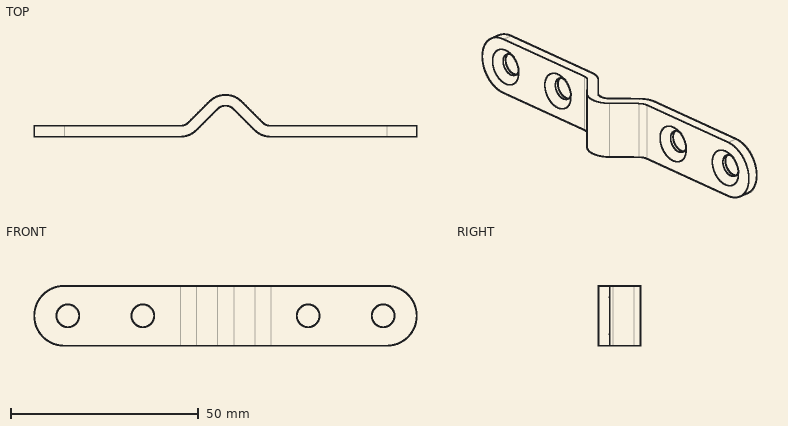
import cadquery as cq
import math

length = 102.0
width = 16.0
depth = 11.2
thickness = 3.0
inner_radius = 3.1
bend_angle = math.radians(45)
hole_diameter = 6.0
hole_positions = (22.0, 42.0)
sink_diameter = 10.0
sink_angle = math.radians(90)

outer_radius = inner_radius + thickness
crest_y = depth - outer_radius
foot_y = thickness + inner_radius
radius_sum = inner_radius + outer_radius
foot_x = (radius_sum - (foot_y - crest_y) * math.cos(bend_angle)) / math.sin(bend_angle)


def crest_point(radius, side):
    """End of a crest arc, on the left (-1) or right (+1) side."""
    return (side * radius * math.sin(bend_angle), crest_y + radius * math.cos(bend_angle))


def foot_point(radius, side, angle):
    """Point on a foot arc, turned by angle from its flat end."""
    return (side * (foot_x - radius * math.sin(angle)), foot_y - radius * math.cos(angle))


def trace_surface(sketch, start_side, foot_radius, crest_radius):
    """Draw one face of the bent strip from one end to the other."""
    end_side = -start_side
    half_angle = bend_angle / 2
    return (
        sketch.lineTo(*foot_point(foot_radius, start_side, 0))
        .threePointArc(
            foot_point(foot_radius, start_side, half_angle),
            foot_point(foot_radius, start_side, bend_angle),
        )
        .lineTo(*crest_point(crest_radius, start_side))
        .threePointArc((0, crest_y + crest_radius), crest_point(crest_radius, end_side))
        .lineTo(*foot_point(foot_radius, end_side, bend_angle))
        .threePointArc(
            foot_point(foot_radius, end_side, half_angle),
            foot_point(foot_radius, end_side, 0),
        )
        .lineTo(end_side * length / 2, foot_y - foot_radius)
    )


def bent_strip():
    sketch = cq.Workplane("XY").moveTo(-length / 2, 0)
    sketch = trace_surface(sketch, -1, outer_radius, inner_radius)
    sketch = sketch.lineTo(length / 2, thickness)
    sketch = trace_surface(sketch, 1, inner_radius, outer_radius)
    return sketch.close().extrude(width / 2, both=True)


def rounded_outline():
    """Block with the rounded-end outline of the strip, passing through its depth."""
    return cq.Workplane("XZ").slot2D(length, width).extrude(-depth)


def screw_holes():
    """Through holes countersunk from the back face of the flat ends."""
    centres = [(side * x, 0) for side in (-1, 1) for x in hole_positions]
    holes = cq.Workplane("XZ").pushPoints(centres).circle(hole_diameter / 2).extrude(-thickness)
    sink_depth = (sink_diameter - hole_diameter) / 2 / math.tan(sink_angle / 2)
    for x, z in centres:
        cone = cq.Solid.makeCone(
            sink_diameter / 2,
            hole_diameter / 2,
            sink_depth,
            pnt=cq.Vector(x, thickness, z),
            dir=cq.Vector(0, -1, 0),
        )
        holes = holes.union(cq.Workplane(cone))
    return holes


result = bent_strip().intersect(rounded_outline()).cut(screw_holes())